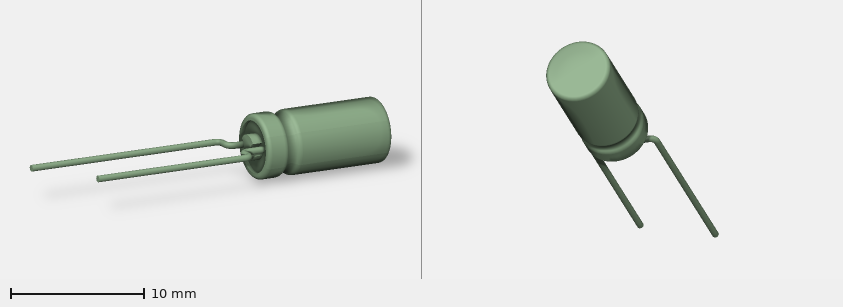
import cadquery as cq
import math


CAN_LENGTH = 10.5
CAN_DIAMETER = 5.0
CAN_RADIUS = CAN_DIAMETER / 2
EDGE_FILLET = 0.3
FACE_RADIUS = CAN_RADIUS - EDGE_FILLET

GROOVE_CENTER = 2.15
GROOVE_DEPTH = 0.35
FLOOR_HALF_WIDTH = 0.42
SHOULDER_WIDTH = 0.35
GROOVE_HALF_WIDTH = FLOOR_HALF_WIDTH + SHOULDER_WIDTH
GROOVE_SLOPE = 2 * math.atan(GROOVE_DEPTH / GROOVE_HALF_WIDTH)
FLOOR_ARC_RADIUS = FLOOR_HALF_WIDTH / math.sin(GROOVE_SLOPE)
SHOULDER_ARC_RADIUS = SHOULDER_WIDTH / math.sin(GROOVE_SLOPE)

STRIPE_THICKNESS = 0.08
STRIPE_ANGLE = 60

WIRE_RADIUS = 0.25
BEND_RADIUS = 0.5
LEAD_INNER_X = 1.0
LEAD_OUTER_X = 2.5
STRAIGHT_LENGTH = 1.0
OVERALL_LENGTH = 28
LONG_LEAD_REACH = OVERALL_LENGTH - CAN_LENGTH
LEAD_LENGTH_DIFFERENCE = 3.0
SHORT_LEAD_REACH = LONG_LEAD_REACH - LEAD_LENGTH_DIFFERENCE

PLUG_RADIUS = 2.02
PLUG_RECESS = 0.3
PLUG_THICKNESS = 0.5
POST_RADIUS = 1.0
POST_REACH = 0.5
POST_RELIEF_RADIUS = 0.5


def y_cylinder(radius, y_start, y_end, x=0):
    """Cylinder parallel to Y."""
    return cq.Workplane(cq.Solid.makeCylinder(
        radius, y_end - y_start, cq.Vector(x, y_start, 0), cq.Vector(0, 1, 0)))


def arc_point(x, y, radius, degrees):
    """Point on a circle about (x, y)."""
    angle = math.radians(degrees)
    return (x + radius * math.cos(angle), y + radius * math.sin(angle))


def side_outline(inset):
    """Open can side outline, from the rim face to the end face, offset inward by inset."""
    radius = CAN_RADIUS - inset
    fillet = EDGE_FILLET - inset
    shoulder = SHOULDER_ARC_RADIUS - inset
    floor = FLOOR_ARC_RADIUS + inset
    slope = math.degrees(GROOVE_SLOPE)
    shoulder_x = CAN_RADIUS - SHOULDER_ARC_RADIUS
    floor_x = CAN_RADIUS - GROOVE_DEPTH + FLOOR_ARC_RADIUS
    lower_y = GROOVE_CENTER - GROOVE_HALF_WIDTH
    upper_y = GROOVE_CENTER + GROOVE_HALF_WIDTH
    rim_y = EDGE_FILLET
    end_y = CAN_LENGTH - EDGE_FILLET
    return (
        cq.Workplane("XY")
        .moveTo(FACE_RADIUS, inset)
        .threePointArc(arc_point(FACE_RADIUS, rim_y, fillet, -45), (radius, rim_y))
        .lineTo(radius, lower_y)
        .threePointArc(arc_point(shoulder_x, lower_y, shoulder, slope / 2),
                       arc_point(shoulder_x, lower_y, shoulder, slope))
        .threePointArc((radius - GROOVE_DEPTH, GROOVE_CENTER),
                       arc_point(floor_x, GROOVE_CENTER, floor, 180 - slope))
        .threePointArc(arc_point(shoulder_x, upper_y, shoulder, -slope / 2), (radius, upper_y))
        .lineTo(radius, end_y)
        .threePointArc(arc_point(FACE_RADIUS, end_y, fillet, 45), (FACE_RADIUS, CAN_LENGTH - inset))
    )


def revolve_about_y(outline, degrees):
    return outline.close().revolve(degrees, (0, 0, 0), (0, 1, 0))


def make_stripe():
    """Sector of the can's skin, centered on +X."""
    outer = revolve_about_y(side_outline(0).lineTo(0, CAN_LENGTH).lineTo(0, 0), STRIPE_ANGLE)
    core = revolve_about_y(
        side_outline(STRIPE_THICKNESS)
        .lineTo(FACE_RADIUS, CAN_LENGTH)
        .lineTo(0, CAN_LENGTH)
        .lineTo(0, 0)
        .lineTo(FACE_RADIUS, 0),
        360)
    return outer.cut(core).rotate((0, 0, 0), (0, 1, 0), -STRIPE_ANGLE / 2)


def make_can(stripe):
    can = revolve_about_y(side_outline(0).lineTo(0, CAN_LENGTH).lineTo(0, 0), 360)
    mouth = y_cylinder(PLUG_RADIUS, 0, PLUG_RECESS + PLUG_THICKNESS)
    return can.cut(mouth).cut(stripe)


def make_plug():
    plug = y_cylinder(PLUG_RADIUS, PLUG_RECESS, PLUG_RECESS + PLUG_THICKNESS)
    post = y_cylinder(POST_RADIUS, -POST_REACH, PLUG_RECESS)
    for side in (-1, 1):
        post = post.cut(y_cylinder(POST_RELIEF_RADIUS, -POST_REACH, PLUG_RECESS, side * LEAD_INNER_X))
    return plug.union(post)


def make_lead(side, reach):
    """Wire stepped outward by two bends; side is -1 or +1 along X."""
    inner_x = side * LEAD_INNER_X
    outer_x = side * LEAD_OUTER_X
    bend = side * BEND_RADIUS
    step_y = -STRAIGHT_LENGTH - BEND_RADIUS
    path = (
        cq.Workplane("XY")
        .moveTo(inner_x, PLUG_RECESS)
        .lineTo(inner_x, -STRAIGHT_LENGTH)
        .tangentArcPoint((inner_x + bend, step_y), relative=False)
        .lineTo(outer_x - bend, step_y)
        .tangentArcPoint((outer_x, step_y - BEND_RADIUS), relative=False)
        .lineTo(outer_x, -reach)
    )
    return cq.Workplane("XZ", origin=(inner_x, PLUG_RECESS, 0)).circle(WIRE_RADIUS).sweep(path)


stripe = make_stripe()
can = make_can(stripe)
plug = make_plug()
leads = [make_lead(side, reach) for side, reach in ((-1, LONG_LEAD_REACH), (1, SHORT_LEAD_REACH))]

result = cq.Compound.makeCompound(
    [can.solids().val(), stripe.solids().val(), plug.solids().val(), *[lead.val() for lead in leads]])